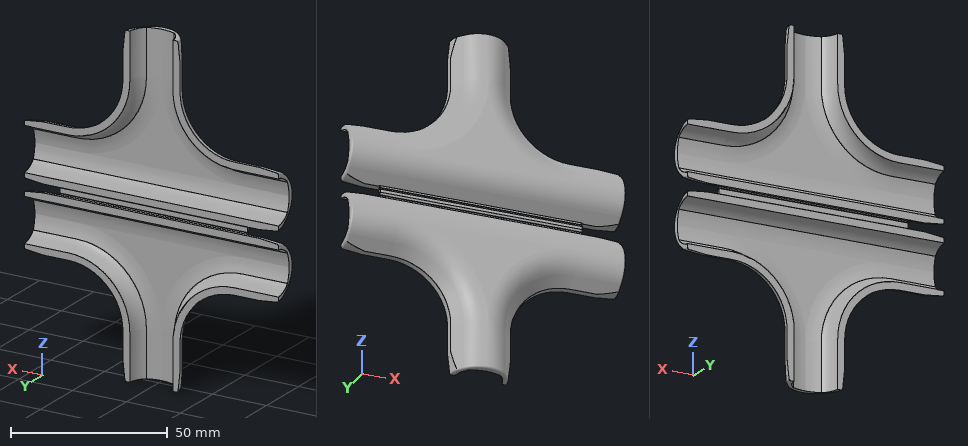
import cadquery as cq
import math

TOTAL_WIDTH = 94.5
TOTAL_HEIGHT = 119.7
DEPTH = 9.1

RUN_HALF_LENGTH = TOTAL_WIDTH / 2
RUN_AXIS_HEIGHT = 12.1
BRANCH_LENGTH = TOTAL_HEIGHT / 2 - RUN_AXIS_HEIGHT
BEND_RADIUS = 30.8

SIDE_RADIUS = 10.7
SIDE_CENTER_OFFSET = 0.7
CROWN_HALF_WIDTH = 7.2
FLANK_ANGLE = math.radians(50)

BORE_DEPTH = 6.6
BORE_CROWN_RADIUS = 11.4
BORE_SIDE_RADIUS = 8.0
BORE_CENTER_OFFSET = 0.6
BORE_CROWN_HALF_WIDTH = 5.1

TAPER_LENGTH = 7.2
TAPER_DROP = 0.78
RIM_FILLET = 0.7

HINGE_LENGTH = 69.6
HINGE_REACH = 2.2
HINGE_NECK_HEIGHT = 1.3
HINGE_NECK_BACK = 1.9
HINGE_NECK_FRONT = 2.3
HINGE_FRONT = 2.6
HINGE_FRONT_HALF_HEIGHT = 0.54
HINGE_BACK = 1.4
HINGE_BACK_HALF_HEIGHT = 1.0
HINGE_ROOT_BACK = 1.4


def circle_point(radius, center_depth, depth):
    """Point (width, depth) at a given depth on a circle centred on the tube's mid-plane."""
    return (math.sqrt(radius**2 - (depth - center_depth) ** 2), depth)


def outer_half(plane):
    """Half of the outer section; local x runs outward from the axis, local y to the front."""
    crown_radius = CROWN_HALF_WIDTH / math.sin(FLANK_ANGLE)
    crown_center = DEPTH - crown_radius
    crown_mid = (
        crown_radius * math.sin(FLANK_ANGLE / 2),
        crown_center + crown_radius * math.cos(FLANK_ANGLE / 2),
    )
    crown_end = (CROWN_HALF_WIDTH, crown_center + crown_radius * math.cos(FLANK_ANGLE))

    direction = (math.cos(FLANK_ANGLE), -math.sin(FLANK_ANGLE))
    from_center = (crown_end[0], crown_end[1] + SIDE_CENTER_OFFSET)
    along = from_center[0] * direction[0] + from_center[1] * direction[1]
    across = from_center[0] * direction[1] - from_center[1] * direction[0]
    flank_length = math.sqrt(SIDE_RADIUS**2 - across**2) - along
    flank_end = (
        crown_end[0] + flank_length * direction[0],
        crown_end[1] + flank_length * direction[1],
    )

    side_mid = circle_point(SIDE_RADIUS, -SIDE_CENTER_OFFSET, flank_end[1] / 2)
    side_end = circle_point(SIDE_RADIUS, -SIDE_CENTER_OFFSET, 0)
    return (
        cq.Workplane(plane)
        .moveTo(0, 0)
        .lineTo(0, DEPTH)
        .threePointArc(crown_mid, crown_end)
        .lineTo(*flank_end)
        .threePointArc(side_mid, side_end)
        .close()
    )


def bore_half(plane):
    """Half of the bore section, in the same local axes as the outer one."""
    crown_center = BORE_DEPTH - BORE_CROWN_RADIUS
    corner_depth = math.sqrt(BORE_SIDE_RADIUS**2 - BORE_CROWN_HALF_WIDTH**2) - BORE_CENTER_OFFSET
    corner = (BORE_CROWN_HALF_WIDTH, corner_depth)
    half = BORE_CROWN_HALF_WIDTH / 2
    crown_mid = (half, crown_center + math.sqrt(BORE_CROWN_RADIUS**2 - half**2))
    side_mid = circle_point(BORE_SIDE_RADIUS, -BORE_CENTER_OFFSET, corner_depth / 2)
    side_end = circle_point(BORE_SIDE_RADIUS, -BORE_CENTER_OFFSET, 0)
    return (
        cq.Workplane(plane)
        .moveTo(0, 0)
        .lineTo(0, BORE_DEPTH)
        .threePointArc(crown_mid, corner)
        .threePointArc(side_mid, side_end)
        .close()
    )


def section_plane(origin, outward, front=(0, -1, 0)):
    """Plane whose local x is the outward direction and whose local y points to the front."""
    normal = cq.Vector(*outward).cross(cq.Vector(*front))
    return cq.Plane(origin=origin, xDir=outward, normal=normal.toTuple())


def tee(half_section, depth):
    """Tee with its run axis along X through the origin and its branch toward +Z."""
    body = half_section(section_plane((RUN_HALF_LENGTH, 0, 0), (0, 0, -1))).extrude(TOTAL_WIDTH)

    arc_mid = BEND_RADIUS * (1 - math.sqrt(0.5))
    web = (
        cq.Workplane("XZ")
        .moveTo(-BEND_RADIUS, 0)
        .lineTo(BEND_RADIUS, 0)
        .threePointArc((arc_mid, arc_mid), (0, BEND_RADIUS))
        .threePointArc((-arc_mid, arc_mid), (-BEND_RADIUS, 0))
        .close()
        .extrude(depth)
    )
    body = body.union(web)

    for side in (1, -1):
        run_joint = section_plane((side * BEND_RADIUS, 0, 0), (0, 0, 1))
        arm = half_section(run_joint).extrude(side * (RUN_HALF_LENGTH - BEND_RADIUS))
        bend = half_section(run_joint).revolve(90, (BEND_RADIUS, 0, 0), (BEND_RADIUS, -side, 0))
        branch_joint = section_plane((0, 0, BEND_RADIUS), (side, 0, 0))
        branch = half_section(branch_joint).extrude(-side * (BRANCH_LENGTH - BEND_RADIUS))
        body = body.union(arm).union(bend).union(branch)
    return body


def mouth_trim(end, outward):
    """Ring that trims the round sides of a mouth to a cone narrowing toward its end."""
    direction = cq.Vector(*outward)
    center = cq.Vector(*end) + cq.Vector(0, SIDE_CENTER_OFFSET, 0)
    start = center - direction * TAPER_LENGTH
    end_radius = SIDE_RADIUS - TAPER_DROP
    sleeve = cq.Solid.makeCylinder(2 * SIDE_RADIUS, TAPER_LENGTH, start, direction)
    cone = cq.Solid.makeCone(SIDE_RADIUS, end_radius, TAPER_LENGTH, start, direction)
    return sleeve.cut(cone)


def tee_shell():
    """Hollow half tee with tapered mouths and rounded rims."""
    outer = tee(outer_half, DEPTH)
    mouths = (
        ((RUN_HALF_LENGTH, 0, 0), (1, 0, 0)),
        ((-RUN_HALF_LENGTH, 0, 0), (-1, 0, 0)),
        ((0, 0, BRANCH_LENGTH), (0, 0, 1)),
    )
    for end, outward in mouths:
        outer = outer.cut(cq.Workplane(mouth_trim(end, outward)))
    for mouth in (">X", "<X", ">Z"):
        outer = outer.faces(mouth).edges("not(>Y)").fillet(RIM_FILLET)
    return outer.cut(tee(bore_half, BORE_DEPTH))


def hinge():
    """Strip joining the tees, thinned to a neck along each long side."""
    upper = [
        (HINGE_FRONT, HINGE_FRONT_HALF_HEIGHT),
        (HINGE_NECK_FRONT, HINGE_NECK_HEIGHT),
        (HINGE_NECK_FRONT, HINGE_REACH),
        (HINGE_ROOT_BACK, HINGE_REACH),
        (HINGE_NECK_BACK, HINGE_NECK_HEIGHT),
        (HINGE_BACK, HINGE_BACK_HALF_HEIGHT),
    ]
    lower = [(depth, -height) for depth, height in reversed(upper)]
    outline = [(-depth, height) for depth, height in upper + lower]
    return cq.Workplane("YZ").polyline(outline).close().extrude(HINGE_LENGTH / 2, both=True)


upper_tee = tee_shell().translate((0, 0, RUN_AXIS_HEIGHT))
lower_tee = upper_tee.mirror("XY")
result = upper_tee.union(lower_tee).union(hinge())